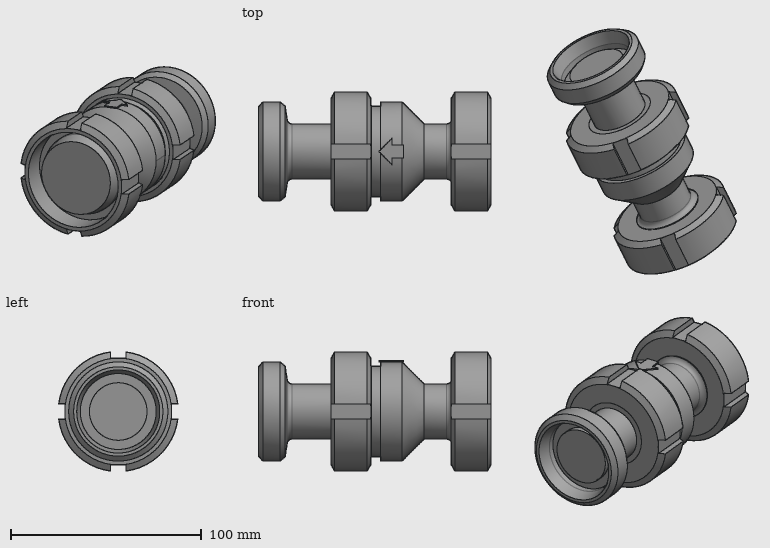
import cadquery as cq
import math

total_length = 122.0

nut_length = 21.0
nut_radius = 31.5
nut_chamfer_length = 2.0
nut_chamfer_depth = 3.5
nut_face_radius = nut_radius - nut_chamfer_depth
nut_wall = 7.3
nut_neck_radius = 17.5
slot_width = 8.0
slot_count = 4
left_nut_start = 38.0
right_nut_start = total_length - nut_length

thread_radius = 26.0
front_chamfer_length = 2.4
front_chamfer_depth = 2.6
rear_chamfer_length = 2.7
rear_chamfer_depth = 2.2
thread_root_radius = thread_radius - rear_chamfer_depth

socket_floor_radius = 19.9
socket_cone_length = 7.0
socket_cone_angle = 15.0
socket_depth = 10.4
socket_mouth_radius = socket_floor_radius + socket_cone_length * math.tan(math.radians(socket_cone_angle))
plug_radius = 15.1

flange_rear_chamfer_start = 11.4
flange_rear_edge = flange_rear_chamfer_start + rear_chamfer_length
pipe_radius = 14.5
flange_fillet_radius = 2.5
flange_fillet_end = 17.65

groove_gap = 0.4
groove_start = left_nut_start + nut_length + groove_gap
housing_start = 64.1
housing_radius = thread_radius
cone_start = 75.4
cone_end = cone_start + housing_radius - pipe_radius

liner_fillet_radius = nut_neck_radius - pipe_radius
liner_fillet_start = 98.5
liner_neck_start = liner_fillet_start + liner_fillet_radius
liner_collar_start = right_nut_start + nut_wall
liner_cone_start = liner_collar_start + socket_depth - socket_cone_length
liner_end = liner_collar_start + socket_depth

arrow_tip = 63.1
arrow_head_length = 7.0
arrow_head_half_width = 7.0
arrow_shaft_length = 6.0
arrow_shaft_half_width = 3.5
arrow_sink = 0.1
arrow_rise = 0.6


def revolve_about_x(profile):
    """Close a half profile and turn it into a solid around the X axis."""
    return profile.close().revolve(360, (0, 0, 0), (1, 0, 0))


def make_nut(start):
    """Union nut: neck hole through the left wall, thread bore open to the right."""
    end = start + nut_length
    shoulder = start + nut_wall
    nut = revolve_about_x(
        cq.Workplane("XY")
        .moveTo(start, nut_neck_radius)
        .lineTo(start, nut_face_radius)
        .lineTo(start + nut_chamfer_length, nut_radius)
        .lineTo(end - nut_chamfer_length, nut_radius)
        .lineTo(end, nut_face_radius)
        .lineTo(end, thread_radius)
        .lineTo(shoulder, thread_radius)
        .lineTo(shoulder, nut_neck_radius)
    )
    slot = (
        cq.Workplane("XY")
        .box(nut_length, slot_width, nut_chamfer_depth, centered=(False, True, False))
        .translate((start, 0, nut_face_radius))
    )
    for i in range(slot_count):
        nut = nut.cut(slot.rotate((0, 0, 0), (1, 0, 0), i * 360 / slot_count))
    return nut


def make_body_core():
    """Flange, pipe, threaded end, housing and right liner as one turned solid."""
    left_shoulder = left_nut_start + nut_wall
    diagonal = math.sqrt(0.5)
    flange_fillet_top = pipe_radius + flange_fillet_radius
    flange_wall = flange_fillet_end - flange_fillet_radius
    return revolve_about_x(
        cq.Workplane("XY")
        .moveTo(0, 0)
        .lineTo(0, thread_radius - front_chamfer_depth)
        .lineTo(front_chamfer_length, thread_radius)
        .lineTo(flange_rear_chamfer_start, thread_radius)
        .lineTo(flange_rear_edge, thread_root_radius)
        .lineTo(flange_wall, flange_fillet_top)
        .threePointArc(
            (flange_fillet_end - flange_fillet_radius * diagonal,
             flange_fillet_top - flange_fillet_radius * diagonal),
            (flange_fillet_end, pipe_radius),
        )
        .lineTo(left_nut_start, pipe_radius)
        .lineTo(left_nut_start, nut_neck_radius)
        .lineTo(left_shoulder, nut_neck_radius)
        .lineTo(left_shoulder, thread_radius)
        .lineTo(groove_start - rear_chamfer_length, thread_radius)
        .lineTo(groove_start, thread_root_radius)
        .lineTo(housing_start, thread_root_radius)
        .lineTo(housing_start, housing_radius)
        .lineTo(cone_start, housing_radius)
        .lineTo(cone_end, pipe_radius)
        .lineTo(liner_fillet_start, pipe_radius)
        .threePointArc(
            (liner_fillet_start + liner_fillet_radius * diagonal,
             nut_neck_radius - liner_fillet_radius * diagonal),
            (liner_neck_start, nut_neck_radius),
        )
        .lineTo(liner_collar_start, nut_neck_radius)
        .lineTo(liner_collar_start, socket_mouth_radius)
        .lineTo(liner_cone_start, socket_mouth_radius)
        .lineTo(liner_end, socket_floor_radius)
        .lineTo(liner_end, 0)
    )


def make_socket():
    """Cutter for the left end: a conical mouth, then a ring groove around the plug."""
    return revolve_about_x(
        cq.Workplane("XY")
        .moveTo(0, 0)
        .lineTo(0, socket_mouth_radius)
        .lineTo(socket_cone_length, socket_floor_radius)
        .lineTo(socket_depth, socket_floor_radius)
        .lineTo(socket_depth, plug_radius)
        .lineTo(socket_cone_length, plug_radius)
        .lineTo(socket_cone_length, 0)
    )


def make_arrow():
    """Flat flow arrow raised on top of the housing."""
    barb = arrow_tip + arrow_head_length
    tail = barb + arrow_shaft_length
    return (
        cq.Workplane("XY")
        .workplane(offset=housing_radius - arrow_sink)
        .polyline([
            (arrow_tip, 0),
            (barb, arrow_head_half_width),
            (barb, arrow_shaft_half_width),
            (tail, arrow_shaft_half_width),
            (tail, -arrow_shaft_half_width),
            (barb, -arrow_shaft_half_width),
            (barb, -arrow_head_half_width),
        ])
        .close()
        .extrude(arrow_sink + arrow_rise)
    )


body = make_body_core().cut(make_socket()).union(make_arrow())
nuts = [make_nut(start) for start in (left_nut_start, right_nut_start)]

result = cq.Compound.makeCompound([body.solids().val(), *[nut.solids().val() for nut in nuts]])